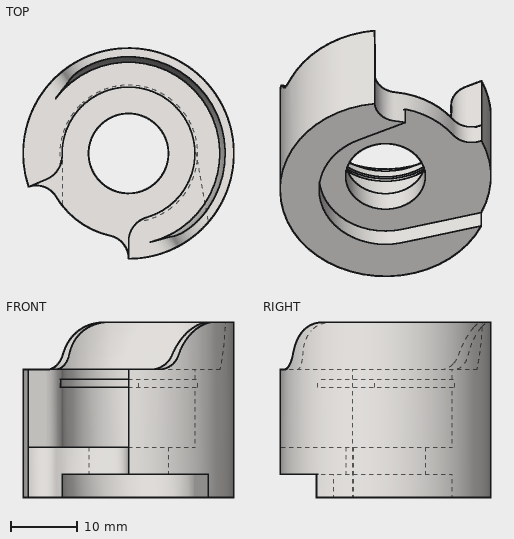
import cadquery as cq
import math

BODY_RADIUS = 31.75 / 2
BODY_HEIGHT = 26.42
DECK_Z = 19.3
FLOOR_Z = 7.62

BORE_RADIUS = 10.0
HOLE_RADIUS = 6.0
GROOVE_RADIUS = 10.36
GROOVE_BOTTOM_Z = 16.64
GROOVE_TOP_Z = 17.8

MOUTH_START = 198.5
MOUTH_END = 270.0
MOUTH_MIDDLE = (MOUTH_START + MOUTH_END) / 2
LIP_WALL_TILT = 4.5
LIP_RADIUS = 3.81
FLOOR_EDGE_RADIUS = 12.7
FLOOR_CORNER_RADIUS = 3.5

RECESS_HEIGHT = 3.52
RECESS_RADIUS = 10.0
RECESS_START = 180.0
RECESS_END = 10.0

RIM_DECK_RADIUS = 13.74
RIM_MIDDLE_RADIUS = 14.3
RIM_TOP_RADIUS = 14.56
SCOOP_DIRECTION = 213.5
SCOOP_START = -4.6
SCOOP_LOWER_RADIUS = 3.4
SCOOP_UPPER_RADIUS = 7.4

REACH = 2 * BODY_RADIUS


def polar(radius, angle):
    a = math.radians(angle)
    return (radius * math.cos(a), radius * math.sin(a))


def shifted(point, distance, angle):
    dx, dy = polar(distance, angle)
    return (point[0] + dx, point[1] + dy)


def cylinder(radius, bottom, top):
    return cq.Workplane("XY").workplane(offset=bottom).circle(radius).extrude(top - bottom)


def mouth_corner(wall_angle, wall_offset, side, circle_radius, arc_radius):
    """Arc joining a straight wall to a circle about the axis.

    The wall runs outward at wall_angle, shifted clockwise from the axis by wall_offset.
    side is +1 when the arc center lies counter-clockwise of the wall, -1 when clockwise.
    Returns the wall contact, the arc midpoint and the circle contact.
    """
    center_distance = circle_radius + arc_radius
    center_shift = side * arc_radius - wall_offset
    contact_run = math.sqrt(center_distance**2 - center_shift**2)
    offset_angle = math.degrees(math.asin(center_shift / center_distance))
    center = polar(center_distance, wall_angle + offset_angle)
    middle_direction = wall_angle + (offset_angle - side * 270) / 2
    return (
        shifted(polar(contact_run, wall_angle), wall_offset, wall_angle - 90),
        shifted(center, arc_radius, middle_direction),
        polar(circle_radius, wall_angle + offset_angle),
    )


def mouth_cutter(first_corner, circle_middle, last_corner, bottom, top):
    """Prism between the mouth walls, ending inward on two rounded corners and a circle."""
    first_wall, first_middle, first_circle = first_corner
    last_wall, last_middle, last_circle = last_corner
    return (
        cq.Workplane("XY")
        .workplane(offset=bottom)
        .moveTo(*polar(BODY_RADIUS, MOUTH_START))
        .lineTo(*first_wall)
        .threePointArc(first_middle, first_circle)
        .threePointArc(circle_middle, last_circle)
        .threePointArc(last_middle, last_wall)
        .lineTo(*polar(REACH, MOUTH_END))
        .lineTo(*polar(REACH, MOUTH_START))
        .close()
        .extrude(top - bottom)
    )


def bore_and_mouth():
    """Bore above the floor, opening sideways through the mouth with rounded lips."""
    tilted_offset = BODY_RADIUS * math.sin(math.radians(LIP_WALL_TILT))
    return mouth_cutter(
        mouth_corner(MOUTH_START + LIP_WALL_TILT, tilted_offset, -1, BORE_RADIUS, LIP_RADIUS),
        polar(BORE_RADIUS, MOUTH_MIDDLE + 180),
        mouth_corner(MOUTH_END, 0, 1, BORE_RADIUS, LIP_RADIUS),
        FLOOR_Z,
        BODY_HEIGHT,
    )


def floor_edge():
    """Material removed outside the rounded floor edge in the mouth."""
    return mouth_cutter(
        mouth_corner(MOUTH_START, 0, 1, FLOOR_EDGE_RADIUS, FLOOR_CORNER_RADIUS),
        polar(FLOOR_EDGE_RADIUS, MOUTH_MIDDLE),
        mouth_corner(MOUTH_END, 0, -1, FLOOR_EDGE_RADIUS, FLOOR_CORNER_RADIUS),
        0,
        FLOOR_Z,
    )


def underside_recess():
    """Round recess with two straight walls, tangent to it, running out of the body."""
    first_x, first_y = polar(RECESS_RADIUS, RECESS_START)
    last_x, last_y = polar(RECESS_RADIUS, RECESS_END)
    run_x, run_y = polar(REACH, RECESS_END - 90)
    return (
        cq.Workplane("XY")
        .moveTo(first_x, first_y - REACH)
        .lineTo(first_x, first_y)
        .threePointArc(polar(RECESS_RADIUS, (RECESS_START + RECESS_END) / 2), (last_x, last_y))
        .lineTo(last_x + run_x, last_y + run_y)
        .close()
        .extrude(RECESS_HEIGHT)
    )


def rim_interior():
    """Space inside the rim, with a bowed wall that widens from the deck to the top."""
    return (
        cq.Workplane("XZ")
        .moveTo(0, DECK_Z)
        .lineTo(RIM_DECK_RADIUS, DECK_Z)
        .threePointArc((RIM_MIDDLE_RADIUS, (DECK_Z + BODY_HEIGHT) / 2), (RIM_TOP_RADIUS, BODY_HEIGHT))
        .lineTo(0, BODY_HEIGHT)
        .close()
        .revolve(360, (0, 0), (0, 1))
    )


def rim_scoop():
    """Removal above an S-shaped profile that rises from the deck to the rim top.

    The profile is drawn opening toward -X, then turned to the scoop direction.
    """
    arcs = SCOOP_LOWER_RADIUS + SCOOP_UPPER_RADIUS
    slope = math.acos(1 - (BODY_HEIGHT - DECK_Z) / arcs)
    lower_center_z = DECK_Z + SCOOP_LOWER_RADIUS
    upper_center_x = SCOOP_START + arcs * math.sin(slope)
    upper_center_z = BODY_HEIGHT - SCOOP_UPPER_RADIUS

    def lower_point(angle):
        return (
            SCOOP_START + SCOOP_LOWER_RADIUS * math.sin(angle),
            lower_center_z - SCOOP_LOWER_RADIUS * math.cos(angle),
        )

    def upper_point(angle):
        return (
            upper_center_x - SCOOP_UPPER_RADIUS * math.sin(angle),
            upper_center_z + SCOOP_UPPER_RADIUS * math.cos(angle),
        )

    cutter = (
        cq.Workplane("XZ")
        .moveTo(-REACH, DECK_Z)
        .lineTo(SCOOP_START, DECK_Z)
        .threePointArc(lower_point(slope / 2), lower_point(slope))
        .threePointArc(upper_point(slope / 2), upper_point(0))
        .lineTo(-REACH, BODY_HEIGHT)
        .close()
        .extrude(REACH, both=True)
    )
    return cutter.rotate((0, 0, 0), (0, 0, 1), SCOOP_DIRECTION - 180)


result = (
    cylinder(BODY_RADIUS, 0, BODY_HEIGHT)
    .cut(rim_interior())
    .cut(rim_scoop())
    .cut(bore_and_mouth())
    .cut(floor_edge())
    .cut(cylinder(GROOVE_RADIUS, GROOVE_BOTTOM_Z, GROOVE_TOP_Z))
    .cut(cylinder(HOLE_RADIUS, 0, FLOOR_Z))
    .cut(underside_recess())
)